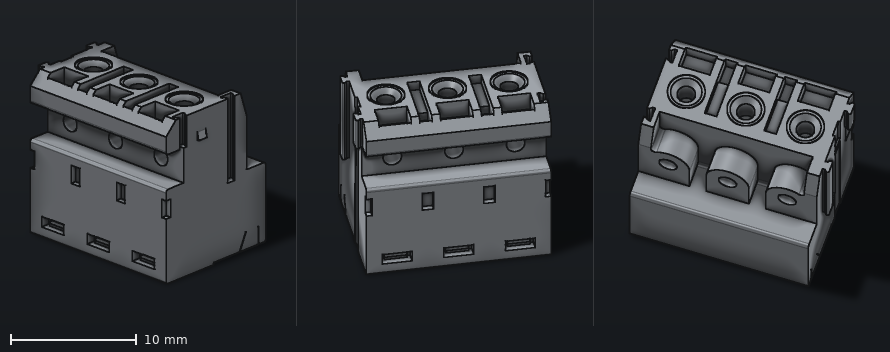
import cadquery as cq
import math

pole_pitch = 5.0
pole_xs = [-pole_pitch, 0, pole_pitch]
gap_xs = [-pole_pitch / 2, pole_pitch / 2]
divider_xs = [-1.5 * pole_pitch, *gap_xs, 1.5 * pole_pitch]
body_width = 15.0
left_x = -body_width / 2
right_x = body_width / 2
body_depth = 11.5
body_height = 13.9

rear_ledge_z = 7.1
rear_wall_y = 9.31
rear_slope_z = 11.7
top_rear_y = 8.6
lip_bottom_z = 11.2
lip_chamfer = 1.13
notch_floor_z = 8.18
notch_wall_y = 2.01
base_step_y = 5.54
base_step_z = 0.19
base_step_run = 0.13
lip_round = 0.3
shelf_round = 0.25
rear_round = 0.3
base_round = 0.2

slit_width = 0.06
slit_top_z = 1.71
straight_slit_y = 10.65
slanted_slit_top_y = 9.15
slanted_slit_bottom_y = 8.43
foot_round = 0.24

wire_z = 9.69
wire_diameter = 1.5
sleeve_diameter = 3.6
bay_wall_y = 7.11
bay_half_width = 6.43
bay_round = 0.3

screw_y = 4.7
screw_rim_diameter = 3.0
screw_rim_depth = 0.1
screw_cone_diameter = 2.5
screw_cone_depth = 0.41
screw_hole_diameter = 1.45
screw_hole_depth = 2.5

pocket_width = 2.63
pocket_front_y = 0.8
pocket_rear_y = 2.7
pocket_depth = 1.53
top_slot_width = 1.0
top_slot_rear_y = 6.09
top_slot_depth = 0.8

divider_width = 0.93
divider_bottom_z = 5.66
divider_top_z = 7.24
divider_depth = 0.52
window_width = 2.42
window_bottom_z = 0.93
window_top_z = 1.82
window_depth = 0.83
catch_width = 1.85
catch_depth = 0.24
catch_front_height = 0.22
catch_height = 0.44

rear_joint_y = 7.52
rear_joint_bottom_z = 6.59
front_joint_y = 2.0
front_joint_bottom_z = lip_bottom_z
rail_reach = 0.58
rail_head_width = 1.09
rail_neck_width = 0.7
rail_head_thickness = 0.2
rail_taper_end = 0.19
rail_corner_round = 0.15
groove_clearance = 0.05

snap_y = 4.09
bump_width = 0.96
bump_reach = 0.14
bump_bottom_z = 11.37
bump_top_z = 12.11
catch_recess_depth = 0.19
catch_recess_top_width = 1.34
guide_top_width = 1.23
guide_bottom_width = 1.38
guide_depth = 0.08
guide_top_z = 10.71
guide_ramp_height = 0.22


def box(x_range, y_range, z_range):
    """Box between two limits along each axis."""
    lengths = [high - low for low, high in (x_range, y_range, z_range)]
    corner = (x_range[0], y_range[0], z_range[0])
    return cq.Workplane("XY").box(*lengths, centered=False).translate(corner)


def centered_box(x, width, y_range, z_range):
    return box((x - width / 2, x + width / 2), y_range, z_range)


def side_prism(points, x_start, x_end):
    """Outline of (y, z) points swept along X."""
    outline = cq.Workplane("YZ").workplane(offset=x_start).polyline(points).close()
    return outline.extrude(x_end - x_start)


def cylinder_along_y(x, diameter, y_start, y_end):
    plane = cq.Workplane("XZ", origin=(x, y_start, wire_z))
    return plane.circle(diameter / 2).extrude(y_start - y_end)


def round_edge(solid, y, z, radius):
    """Fillet the edge along X that passes through (y, z)."""
    return solid.edges(cq.selectors.NearestToPointSelector((0, y, z))).fillet(radius)


def make_body():
    profile = [
        (0, 0),
        (0, notch_floor_z),
        (notch_wall_y, notch_floor_z),
        (notch_wall_y, lip_bottom_z),
        (0, lip_bottom_z),
        (0, body_height - lip_chamfer),
        (lip_chamfer, body_height),
        (top_rear_y, body_height),
        (rear_wall_y, rear_slope_z),
        (rear_wall_y, rear_ledge_z),
        (body_depth, rear_ledge_z),
        (body_depth, base_step_z),
        (base_step_y, base_step_z),
        (base_step_y - base_step_run, 0),
    ]
    solid = side_prism(profile, left_x, right_x)
    solid = round_edge(solid, 0, 0, base_round)
    solid = round_edge(solid, 0, notch_floor_z, shelf_round)
    solid = round_edge(solid, 0, lip_bottom_z, lip_round)
    return round_edge(solid, body_depth, rear_ledge_z, rear_round)


def cut_latch_slits(solid):
    foot_y = straight_slit_y + slit_width / 2
    straight = box(
        (left_x, right_x),
        (foot_y - slit_width, foot_y),
        (base_step_z, slit_top_z),
    )
    slanted = side_prism(
        [
            (slanted_slit_bottom_y, base_step_z),
            (slanted_slit_bottom_y + slit_width, base_step_z),
            (slanted_slit_top_y + slit_width, slit_top_z),
            (slanted_slit_top_y, slit_top_z),
        ],
        left_x,
        right_x,
    )
    solid = solid.cut(straight).cut(slanted)
    solid = round_edge(solid, body_depth, base_step_z, foot_round)
    return round_edge(solid, foot_y, base_step_z, foot_round)


def make_rear_bay():
    """Space removed around the sleeves, open to the rear and the top."""
    sleeve_radius = sleeve_diameter / 2
    blend_x = bay_half_width - bay_round
    reach = sleeve_radius + bay_round
    blend_run = blend_x - pole_pitch
    blend_z = wire_z + math.sqrt(reach**2 - blend_run**2)
    touch_x = pole_pitch + blend_run * sleeve_radius / reach
    touch_z = wire_z + (blend_z - wire_z) * sleeve_radius / reach
    half_angle = math.atan2(blend_z - wire_z, blend_run) / 2
    mid_x = blend_x + bay_round * math.sin(half_angle)
    mid_z = blend_z - bay_round * math.cos(half_angle)

    upper = (
        cq.Workplane("XZ", origin=(0, bay_wall_y, 0))
        .moveTo(-bay_half_width, body_height)
        .lineTo(-bay_half_width, blend_z)
        .threePointArc((-mid_x, mid_z), (-touch_x, touch_z))
        .lineTo(-pole_pitch, wire_z)
        .lineTo(pole_pitch, wire_z)
        .lineTo(touch_x, touch_z)
        .threePointArc((mid_x, mid_z), (bay_half_width, blend_z))
        .lineTo(bay_half_width, body_height)
        .close()
        .extrude(bay_wall_y - rear_wall_y)
    )
    lower = box(
        (-pole_pitch, pole_pitch),
        (bay_wall_y, rear_wall_y),
        (rear_ledge_z, wire_z),
    )
    bay = round_edge(upper.union(lower), bay_wall_y, rear_ledge_z, bay_round)
    for x in pole_xs:
        bay = bay.cut(cylinder_along_y(x, sleeve_diameter, bay_wall_y, rear_wall_y))
        bay = bay.cut(
            centered_box(x, sleeve_diameter, (bay_wall_y, rear_wall_y), (rear_ledge_z, wire_z))
        )
    return bay


def make_screw_hole(x):
    rim_radius = screw_rim_diameter / 2
    cone_radius = screw_cone_diameter / 2
    hole_radius = screw_hole_diameter / 2
    cone_end = screw_rim_depth + screw_cone_depth
    half_section = [
        (0, 0),
        (rim_radius, 0),
        (rim_radius, -screw_rim_depth),
        (cone_radius, -screw_rim_depth),
        (hole_radius, -cone_end),
        (hole_radius, -screw_hole_depth),
        (0, -screw_hole_depth),
    ]
    section = cq.Workplane("XZ", origin=(x, screw_y, body_height)).polyline(half_section).close()
    return section.revolve(360, (0, 0, 0), (0, 1, 0))


def make_top_slot(x):
    deep_z = body_height - pocket_depth
    deep = centered_box(x, top_slot_width, (pocket_front_y, pocket_rear_y), (deep_z, body_height))
    shallow_z = body_height - top_slot_depth
    shallow = centered_box(
        x, top_slot_width, (pocket_rear_y, top_slot_rear_y), (shallow_z, body_height)
    )
    return deep.union(shallow)


def make_front_window(x):
    """Recess with a ramped catch left standing at its back wall."""
    window = centered_box(x, window_width, (0, window_depth), (window_bottom_z, window_top_z))
    catch_y = window_depth - catch_depth
    catch = side_prism(
        [
            (catch_y, window_bottom_z),
            (window_depth, window_bottom_z),
            (window_depth, window_bottom_z + catch_height),
            (catch_y, window_bottom_z + catch_front_height),
        ],
        x - catch_width / 2,
        x + catch_width / 2,
    )
    return window.cut(catch)


def make_dovetail(base_x, y, bottom_z, clearance):
    """Upright T-shaped bar standing out from base_x toward -X."""
    reach = rail_reach + clearance
    half_head = rail_head_width / 2 + clearance
    half_neck = rail_neck_width / 2 + clearance
    taper_x = base_x - rail_taper_end
    shoulder_x = base_x - reach + rail_head_thickness
    end_x = base_x - reach
    outline = [
        (base_x, y - half_neck),
        (taper_x, y - half_neck),
        (shoulder_x, y - half_head),
        (end_x, y - half_head),
        (end_x, y + half_head),
        (shoulder_x, y + half_head),
        (taper_x, y + half_neck),
        (base_x, y + half_neck),
    ]
    plane = cq.Workplane("XY").workplane(offset=bottom_z)
    return plane.polyline(outline).close().extrude(body_height - bottom_z)


def make_rail(y, bottom_z):
    rail = make_dovetail(left_x, y, bottom_z, 0)
    return rail.faces("<X").edges("|Z").fillet(rail_corner_round)


def make_bump():
    wedge = [
        (right_x, bump_bottom_z),
        (right_x + bump_reach, bump_bottom_z),
        (right_x, bump_top_z),
    ]
    plane = cq.Workplane("XZ", origin=(0, snap_y + bump_width / 2, 0))
    return plane.polyline(wedge).close().extrude(bump_width)


def make_tapered_recess(bottom_z, bottom_width, top_z, top_width, depth):
    outline = [
        (snap_y - bottom_width / 2, bottom_z),
        (snap_y + bottom_width / 2, bottom_z),
        (snap_y + top_width / 2, top_z),
        (snap_y - top_width / 2, top_z),
    ]
    return side_prism(outline, left_x, left_x + depth)


def make_guide_recess():
    """Shallow channel whose upper end ramps out to the side face."""
    channel = make_tapered_recess(0, guide_bottom_width, guide_top_z, guide_top_width, guide_depth)
    ramp_outline = [
        (left_x, guide_top_z),
        (left_x + guide_depth, guide_top_z),
        (left_x + guide_depth, guide_top_z - guide_ramp_height),
    ]
    plane = cq.Workplane("XZ", origin=(0, snap_y + guide_bottom_width / 2, 0))
    ramp = plane.polyline(ramp_outline).close().extrude(guide_bottom_width)
    return channel.cut(ramp)


body = cut_latch_slits(make_body())
body = body.cut(make_rear_bay())

for pole_x in pole_xs:
    body = body.cut(cylinder_along_y(pole_x, wire_diameter, 0, body_depth))
    body = body.cut(make_screw_hole(pole_x))
    body = body.cut(
        centered_box(
            pole_x,
            pocket_width,
            (pocket_front_y, pocket_rear_y),
            (body_height - pocket_depth, body_height),
        )
    )
    body = body.cut(make_front_window(pole_x))

for gap_x in gap_xs:
    body = body.cut(make_top_slot(gap_x))

for divider_x in divider_xs:
    body = body.cut(
        centered_box(
            divider_x, divider_width, (0, divider_depth), (divider_bottom_z, divider_top_z)
        )
    )

for joint_y, joint_bottom_z in (
    (rear_joint_y, rear_joint_bottom_z),
    (front_joint_y, front_joint_bottom_z),
):
    body = body.cut(make_dovetail(right_x, joint_y, joint_bottom_z, groove_clearance))
    body = body.union(make_rail(joint_y, joint_bottom_z))

body = body.union(make_bump())
body = body.cut(
    make_tapered_recess(
        lip_bottom_z, guide_top_width, body_height, catch_recess_top_width, catch_recess_depth
    )
)
body = body.cut(make_guide_recess())

result = body